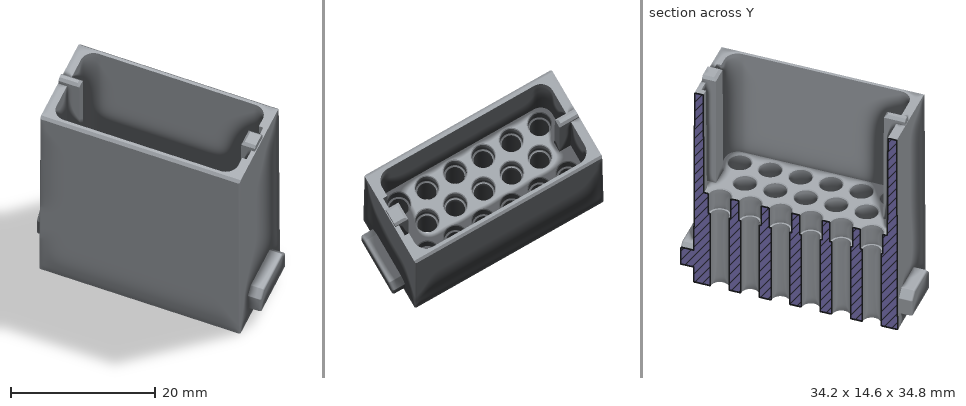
import cadquery as cq
import math

body_length = 30.25
body_depth = 14.6
body_height = 33.78
draft_inset = 0.15
draft_angle = math.degrees(math.atan(draft_inset / body_height))
corner_radius = 0.25
rim_chamfer = 0.38

cavity_length = 27.3
cavity_width = 12.65
cavity_radius = 1.9
cavity_depth = 17.38
cavity_draft_inset = 0.1
cavity_draft_angle = math.degrees(math.atan(cavity_draft_inset / cavity_depth))
floor_height = body_height - cavity_depth

relief_width = 6.05
relief_reach = 14.3

total_height = 34.75
key_chamfer = 0.38
narrow_key_outer_x = 14.95
narrow_key_inner_x = 11.8
narrow_key_width = 1.3
wide_key_inner_x = 12.82
wide_key_outer_x = 14.87
wide_key_width = 2.7

overall_length = 34.15
tab_reach = overall_length / 2
tab_bottom = 2.65
tab_height = 3.72
tab_corner = 1.1
tab_corner_radius = 0.15
tab_edge_radius = 0.3
left_tab_width = 7.02
right_tab_width = 8.95

row_pitch = 4.0
outer_row_span = 22.52
outer_row_count = 6
hole_pitch = outer_row_span / (outer_row_count - 1)
middle_row_count = 5
hole_diameter = 2.7
mouth_diameter = 3.55
counterbore_diameter = 3.25
lead_in_angle = 45.0
lead_in_depth = (mouth_diameter - counterbore_diameter) / 2 / math.tan(math.radians(lead_in_angle))
counterbore_depth = 3.48


def make_body():
    """Drafted housing with rounded upright edges and a chamfer along both long rims."""
    block = cq.Workplane("XY").rect(body_length, body_depth).extrude(body_height, taper=draft_angle)
    block = block.edges("not (#Z)").fillet(corner_radius)
    rim_half_width = body_depth / 2 - draft_inset
    chamfer_cutter = (
        cq.Workplane("YZ")
        .moveTo(rim_half_width - rim_chamfer, body_height)
        .lineTo(rim_half_width + rim_chamfer, body_height - 2 * rim_chamfer)
        .lineTo(rim_half_width + rim_chamfer, body_height)
        .close()
        .extrude(body_length / 2, both=True)
    )
    return block.cut(chamfer_cutter).cut(chamfer_cutter.mirror("XZ"))


def make_cavity():
    """Drafted rounded pocket with a shallow relief in its +X wall."""
    rim = cq.Workplane("XY").workplane(offset=body_height)
    pocket = rim.rect(cavity_length, cavity_width).extrude(-cavity_depth, taper=cavity_draft_angle)
    pocket = pocket.edges("not (#Z)").fillet(cavity_radius)
    relief = (
        rim.center(relief_reach / 2, 0)
        .rect(relief_reach, relief_width)
        .extrude(-cavity_depth, taper=cavity_draft_angle)
    )
    return pocket.union(relief)


def make_key(inner_x, outer_x, width, side):
    """Drafted key from the cavity floor to above the rim; side is -1 or 1 along X."""
    height = total_height - floor_height
    spread = 2 * height * math.tan(math.radians(draft_angle))
    key = (
        cq.Workplane("XY", origin=(side * (inner_x + outer_x) / 2, 0, floor_height))
        .rect(outer_x - inner_x + spread, width + spread)
        .extrude(height, taper=draft_angle)
    )
    inner_end = "<X" if side > 0 else ">X"
    return key.faces(">Z").edges("|X or " + inner_end).chamfer(key_chamfer)


def make_tab(width, side):
    """Latch tab with cut upper corners and a rounded outer rim; side is -1 or 1 along X."""
    tab = (
        cq.Workplane("YZ")
        .center(0, tab_bottom + tab_height / 2)
        .rect(width, tab_height)
        .extrude(side * tab_reach)
    )
    tab = tab.faces(">Z").edges("|X").chamfer(tab_corner)
    tab = tab.edges("|X and (not <Z)").fillet(tab_corner_radius)
    outer_face = ">X" if side > 0 else "<X"
    return tab.faces(outer_face).edges("not <Z").fillet(tab_edge_radius)


def row_points(count, y):
    return [((i - (count - 1) / 2) * hole_pitch, y) for i in range(count)]


def make_holes():
    """Through holes with a counterbored mouth and a conical lead-in at the cavity floor."""
    points = (
        row_points(outer_row_count, row_pitch)
        + row_points(middle_row_count, 0)
        + row_points(outer_row_count, -row_pitch)
    )
    floor = cq.Workplane("XY").workplane(offset=floor_height).pushPoints(points)
    bores = floor.circle(hole_diameter / 2).extrude(-floor_height)
    counterbores = floor.circle(counterbore_diameter / 2).extrude(-counterbore_depth)
    lead_ins = floor.circle(mouth_diameter / 2).extrude(-lead_in_depth, taper=lead_in_angle)
    return bores.union(counterbores).union(lead_ins)


result = (
    make_body()
    .union(make_tab(left_tab_width, -1))
    .union(make_tab(right_tab_width, 1))
    .cut(make_cavity())
    .union(make_key(narrow_key_inner_x, narrow_key_outer_x, narrow_key_width, -1))
    .union(make_key(wide_key_inner_x, wide_key_outer_x, wide_key_width, 1))
    .cut(make_holes())
)